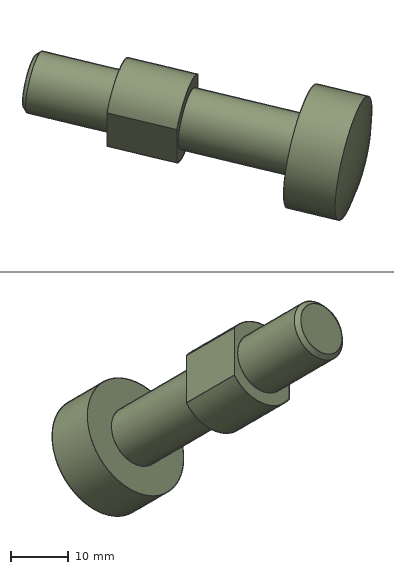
import cadquery as cq
import math

total_length = 60.325
shank_diameter = 11.1125
tip_chamfer = 0.79375

collar_start = 15.83
collar_length = 12.7
collar_diameter = 15.875
collar_width_across_flats = 12.7

head_diameter = 22.225
head_rim_length = 9.39
dome_height = 1.5875

dome_start = total_length - dome_height
head_start = dome_start - head_rim_length


def make_shank():
    """Round shank running from the chamfered tip to the head."""
    shank = cq.Workplane("YZ").circle(shank_diameter / 2).extrude(head_start)
    return shank.faces("<X").chamfer(tip_chamfer)


def make_collar():
    """Round collar trimmed by two parallel flats."""
    section_plane = cq.Workplane("YZ", origin=(collar_start, 0, 0))
    disc = section_plane.circle(collar_diameter / 2).extrude(collar_length)
    flats = section_plane.rect(collar_width_across_flats, collar_diameter).extrude(collar_length)
    return disc.intersect(flats)


def make_head():
    """Cylindrical head closed by a shallow spherical dome."""
    head_radius = head_diameter / 2
    dome_radius = (head_radius**2 + dome_height**2) / (2 * dome_height)
    dome_center = total_length - dome_radius
    arc_mid_radius = head_radius / 2
    arc_mid_x = dome_center + math.sqrt(dome_radius**2 - arc_mid_radius**2)
    profile = (
        cq.Workplane("XY")
        .moveTo(head_start, 0)
        .lineTo(head_start, head_radius)
        .lineTo(dome_start, head_radius)
        .threePointArc((arc_mid_x, arc_mid_radius), (total_length, 0))
        .close()
    )
    return profile.revolve(360, (0, 0, 0), (1, 0, 0))


result = make_shank().union(make_collar()).union(make_head())